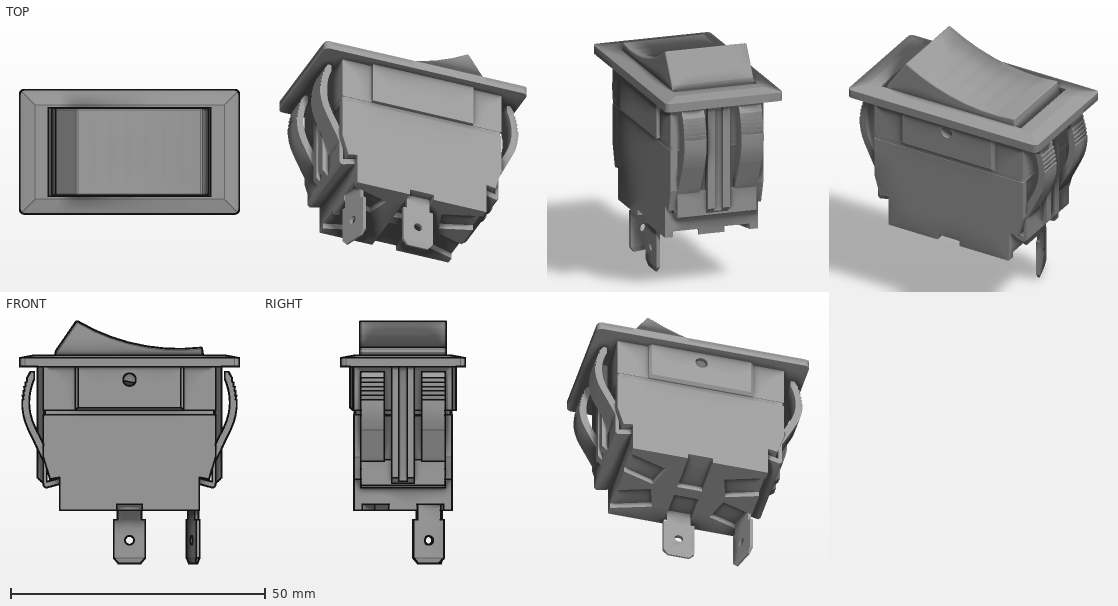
import math

import cadquery as cq

OVERLAP = 0.3
BEYOND = 1.0

BEZEL_LENGTH = 43.2
BEZEL_WIDTH = 24.5
BEZEL_RIM = 1.72
BEZEL_HEIGHT = 2.3
BEZEL_SLOPE_RUN = 3.0
BEZEL_CORNER_RADIUS = 1.0
WINDOW_LENGTH = 32.0
WINDOW_WIDTH = 17.4
WINDOW_FLOOR_Z = -7.5

ROCKER_WIDTH = 17.1
ROCKER_TILT = 12.07
ROCKER_PEAK_HALF = 12.6
ROCKER_PEAK_HEIGHT = 9.2
ROCKER_HOLLOW_HEIGHT = 7.1
ROCKER_SIDE_HALF = 15.36
ROCKER_SIDE_HEIGHT = 2.49
ROCKER_BOTTOM = -1.2
ROCKER_EDGE_RADIUS = 0.3
PIVOT_Z = -2.55
PIN_DIAMETER = 2.5
PIN_BEVEL_OFFSET = 0.44
PIN_BEVEL_ANGLE = 45.0

HOUSING_HALF_LENGTH = 16.95
HOUSING_HALF_WIDTH = 9.68
HOUSING_BOTTOM = -28.26
FRAME_BOTTOM = -8.58
NECK_BOTTOM = -9.45
NECK_INSET = 0.1
NECK_CORNER = 0.3
TAPER_TOP = -17.75
TAPER_BOTTOM = -22.15
TAPER_BOTTOM_HALF_LENGTH = 15.65
BASE_HALF_LENGTH = 13.73
BASE_TOP = -21.8

PAD_HALF_LENGTH = 10.7
PAD_HEIGHT = 0.75
PAD_STEP = 0.2
PAD_BEVEL_RUN = 0.6

RAIL_REACH = 18.13
RAIL_WIDTH = 4.52
RAIL_CHAMFER_TOP = -21.8
RAIL_BOTTOM = -22.95
RAIL_GROOVE_WIDTH = 1.6
RAIL_GROOVE_DEPTH = 0.8

CLIP_PLATE_HALF_WIDTH = 8.28
CLIP_FINGER_INNER_Y = 3.64
CLIP_PLATE_THICKNESS = 0.7
CLIP_PLATE_TOP = -18.3
CLIP_SEAT_TOP = -9.6
CLIP_BEND_TOP = -22.6
CLIP_HOOK_RISE = 0.7
CLIP_HOOK_THICKNESS = 1.2
CLIP_BEND_CUT = 0.45
FINGER_THICKNESS = 1.45
FINGER_OUTER_RADIUS = 12.5
FINGER_REACH = 21.15
FINGER_BEND_Z = -7.0
FINGER_LEAN = 25.8
FINGER_TOP = -0.95
FINGER_TIP_X = 18.7
FINGER_TIP_SLOPE_X = 19.45
FINGER_TIP_CORNER = 0.15
TOOTH_COUNT = 5
TOOTH_PITCH = 0.86
TOOTH_DEPTH = 0.28
FIRST_TOOTH_Z = -2.18

TERMINAL_THICKNESS = 0.75
TERMINAL_WIDTH = 6.25
TERMINAL_NECK_WIDTH = 4.75
TERMINAL_SHOULDER_Z = -30.1
TERMINAL_CHAMFER_Z = -37.6
TERMINAL_BOTTOM = -38.72
TERMINAL_CHAMFER_RUN = 0.95
TERMINAL_TIP_BEVEL = 0.2
TERMINAL_HOLE_DIAMETER = 1.7
TERMINAL_HOLE_Z = -34.15
SIDE_TERMINAL_Y = 7.35
END_TERMINAL_X = 12.52
END_TERMINAL_Y = 5.02
END_TERMINAL_ANGLE = 17.7
CHANNEL_WIDTH = 5.04
CHANNEL_CEILING = -27.1
CHANNEL_INWARD = 6.2
CHANNEL_OUTWARD = 5.0


def box(x_range, y_range, z_range):
    """Box between the given coordinate limits."""
    size = [limits[1] - limits[0] for limits in (x_range, y_range, z_range)]
    corner = (x_range[0], y_range[0], z_range[0])
    return cq.Workplane("XY").box(*size, centered=False).translate(corner)


def centred_box(half_length, half_width, z_range):
    """Box centred on the Z axis."""
    return box((-half_length, half_length), (-half_width, half_width), z_range)


def extrude_across(profile, y_start, y_end):
    """Extrude an outline drawn on the XZ plane between two Y positions."""
    return profile.extrude(y_start - y_end).translate((0, y_start, 0))


def mirrored_pair(shape):
    """The shape together with its mirror image at the other end of the switch."""
    return shape.union(shape.mirror("YZ"))


def make_bezel():
    block = cq.Workplane("XY").rect(BEZEL_LENGTH, BEZEL_WIDTH).extrude(BEZEL_RIM)
    rise = BEZEL_HEIGHT - BEZEL_RIM
    top_length = BEZEL_LENGTH - 2 * BEZEL_SLOPE_RUN
    top_width = BEZEL_WIDTH - 2 * BEZEL_SLOPE_RUN
    crown = (
        cq.Workplane("XY", origin=(0, 0, BEZEL_RIM))
        .rect(BEZEL_LENGTH, BEZEL_WIDTH)
        .workplane(offset=rise)
        .rect(top_length, top_width)
        .loft(ruled=True)
    )
    rounded = (
        cq.Workplane("XY")
        .rect(BEZEL_LENGTH, BEZEL_WIDTH)
        .extrude(BEZEL_HEIGHT)
        .edges("|Z")
        .fillet(BEZEL_CORNER_RADIUS)
    )
    return block.union(crown).intersect(rounded)


def make_housing():
    frame = centred_box(HOUSING_HALF_LENGTH, HOUSING_HALF_WIDTH, (FRAME_BOTTOM, OVERLAP))
    neck = centred_box(
        HOUSING_HALF_LENGTH - NECK_INSET,
        HOUSING_HALF_WIDTH - NECK_INSET,
        (NECK_BOTTOM - OVERLAP, FRAME_BOTTOM + OVERLAP),
    )
    neck = neck.edges("|Z").chamfer(NECK_CORNER)
    right_side = [
        (HOUSING_HALF_LENGTH, NECK_BOTTOM),
        (HOUSING_HALF_LENGTH, TAPER_TOP),
        (TAPER_BOTTOM_HALF_LENGTH, TAPER_BOTTOM),
        (BASE_HALF_LENGTH, BASE_TOP),
        (BASE_HALF_LENGTH, HOUSING_BOTTOM),
    ]
    left_side = [(-x, z) for x, z in reversed(right_side)]
    outline = cq.Workplane("XZ").polyline(right_side + left_side).close()
    lower = extrude_across(outline, -HOUSING_HALF_WIDTH, HOUSING_HALF_WIDTH)
    return frame.union(neck).union(lower)


def make_pads():
    """Bevelled pad on the -Y side and a plain one on the +Y side."""
    bevel_height = PAD_HEIGHT - PAD_STEP
    front = centred_box(PAD_HALF_LENGTH, HOUSING_HALF_WIDTH + PAD_HEIGHT, (FRAME_BOTTOM, 0))
    front = front.faces("<Y").edges("<Z or <X or >X").chamfer(bevel_height, PAD_BEVEL_RUN)
    front = front.intersect(
        box((-BEZEL_LENGTH, BEZEL_LENGTH), (-BEZEL_WIDTH, 0), (FRAME_BOTTOM, 0))
    )
    back = box(
        (-PAD_HALF_LENGTH, PAD_HALF_LENGTH),
        (0, HOUSING_HALF_WIDTH + PAD_HEIGHT),
        (FRAME_BOTTOM, 0),
    )
    return front.union(back)


def make_rocker():
    profile = (
        cq.Workplane("XZ")
        .moveTo(-ROCKER_SIDE_HALF, ROCKER_BOTTOM)
        .lineTo(-ROCKER_SIDE_HALF, ROCKER_SIDE_HEIGHT)
        .lineTo(-ROCKER_PEAK_HALF, ROCKER_PEAK_HEIGHT)
        .threePointArc((0, ROCKER_HOLLOW_HEIGHT), (ROCKER_PEAK_HALF, ROCKER_PEAK_HEIGHT))
        .lineTo(ROCKER_SIDE_HALF, ROCKER_SIDE_HEIGHT)
        .lineTo(ROCKER_SIDE_HALF, ROCKER_BOTTOM)
        .close()
    )
    rocker = extrude_across(profile, -ROCKER_WIDTH / 2, ROCKER_WIDTH / 2)
    rim = cq.selectors.BoxSelector(
        (-ROCKER_SIDE_HALF - BEYOND, -ROCKER_WIDTH, ROCKER_SIDE_HEIGHT + OVERLAP),
        (ROCKER_SIDE_HALF + BEYOND, ROCKER_WIDTH, ROCKER_PEAK_HEIGHT + BEYOND),
    )
    rocker = rocker.edges(rim).fillet(ROCKER_EDGE_RADIUS)
    return rocker.rotate((0, 0, 0), (0, 1, 0), ROCKER_TILT).translate((0, 0, PIVOT_Z))


def make_pin():
    pin = cq.Workplane("XZ").circle(PIN_DIAMETER / 2)
    return extrude_across(pin, -HOUSING_HALF_WIDTH, HOUSING_HALF_WIDTH).translate((0, 0, PIVOT_Z))


def make_pin_recess():
    """Bore in the bevelled pad in front of the pin end, and the space below the bevel on its lower edge."""
    pad_face = -HOUSING_HALF_WIDTH - PAD_HEIGHT
    pin_face = -HOUSING_HALF_WIDTH
    radius = PIN_DIAMETER / 2
    bore = extrude_across(cq.Workplane("XZ").circle(radius), pad_face, pad_face + PIN_DIAMETER)
    bevel_depth = PIN_DIAMETER / math.tan(math.radians(PIN_BEVEL_ANGLE))
    bevel = (
        cq.Workplane("YZ")
        .polyline(
            [
                (pin_face, -PIN_BEVEL_OFFSET),
                (pin_face, -PIN_BEVEL_OFFSET - PIN_DIAMETER),
                (pin_face + bevel_depth, -PIN_BEVEL_OFFSET - PIN_DIAMETER),
            ]
        )
        .close()
        .extrude(PIN_DIAMETER, both=True)
        .rotate((0, 0, 0), (0, 1, 0), ROCKER_TILT)
    )
    face_gap = box((-radius, radius), (pad_face, pin_face), (-radius, radius))
    return bore.intersect(bevel.union(face_gap)).translate((0, 0, PIVOT_Z))


def make_rail():
    """Grooved guide rail on the +X end."""
    outline = [
        (BASE_HALF_LENGTH, 0),
        (RAIL_REACH, 0),
        (RAIL_REACH, RAIL_CHAMFER_TOP),
        (HOUSING_HALF_LENGTH, RAIL_BOTTOM),
        (HOUSING_HALF_LENGTH - CLIP_PLATE_THICKNESS, RAIL_BOTTOM),
        (HOUSING_HALF_LENGTH - CLIP_PLATE_THICKNESS, TAPER_TOP),
        (BASE_HALF_LENGTH, TAPER_TOP),
    ]
    body = cq.Workplane("XZ").polyline(outline).close()
    rail = extrude_across(body, -RAIL_WIDTH / 2, RAIL_WIDTH / 2)
    inside_window = box(
        (0, WINDOW_LENGTH / 2 + OVERLAP), (-RAIL_WIDTH, RAIL_WIDTH), (WINDOW_FLOOR_Z, 0)
    )
    groove = box(
        (RAIL_REACH - RAIL_GROOVE_DEPTH, RAIL_REACH + BEYOND),
        (-RAIL_GROOVE_WIDTH / 2, RAIL_GROOVE_WIDTH / 2),
        (RAIL_BOTTOM - BEYOND, 0),
    )
    return rail.cut(inside_window).cut(groove)


def make_clip_seat():
    """Recess in the +X end of the housing where the clip lies."""
    return box(
        (HOUSING_HALF_LENGTH - CLIP_PLATE_THICKNESS, HOUSING_HALF_LENGTH + BEYOND),
        (-CLIP_PLATE_HALF_WIDTH, CLIP_PLATE_HALF_WIDTH),
        (TAPER_BOTTOM - BEYOND, CLIP_SEAT_TOP),
    )


def make_clip_plate():
    """Flat plate of the +X clip with the hook that grips under the housing."""
    outer = HOUSING_HALF_LENGTH
    inner = HOUSING_HALF_LENGTH - CLIP_PLATE_THICKNESS
    hook_top = CLIP_BEND_TOP + CLIP_HOOK_RISE
    bend_bottom = CLIP_BEND_TOP - CLIP_HOOK_THICKNESS
    outline = [
        (outer, CLIP_PLATE_TOP),
        (outer, bend_bottom + CLIP_BEND_CUT),
        (outer - CLIP_BEND_CUT, bend_bottom),
        (inner, bend_bottom),
        (BASE_HALF_LENGTH, hook_top - CLIP_HOOK_THICKNESS),
        (BASE_HALF_LENGTH, hook_top),
        (inner, CLIP_BEND_TOP),
        (inner, CLIP_PLATE_TOP),
    ]
    profile = cq.Workplane("XZ").polyline(outline).close()
    return extrude_across(profile, -CLIP_PLATE_HALF_WIDTH, CLIP_PLATE_HALF_WIDTH)


def make_clip_fingers():
    """Two curved, toothed spring fingers of the +X clip."""
    lean = math.radians(FINGER_LEAN)
    centre_x = FINGER_REACH - FINGER_OUTER_RADIUS
    inner_radius = FINGER_OUTER_RADIUS - FINGER_THICKNESS

    def on_arc(radius, angle):
        return (centre_x + radius * math.cos(angle), FINGER_BEND_Z + radius * math.sin(angle))

    def outer_at(z):
        return centre_x + math.sqrt(FINGER_OUTER_RADIUS**2 - (z - FINGER_BEND_Z) ** 2)

    def leaning_foot(start):
        x = HOUSING_HALF_LENGTH - CLIP_PLATE_THICKNESS
        return (x, start[1] - (start[0] - x) / math.tan(lean))

    outer_end = on_arc(FINGER_OUTER_RADIUS, -lean)
    inner_end = on_arc(inner_radius, -lean)
    tip_angle = math.acos((FINGER_TIP_X - centre_x) / inner_radius)
    inner_start = on_arc(inner_radius, tip_angle)

    profile = (
        cq.Workplane("XZ")
        .moveTo(*inner_start)
        .lineTo(FINGER_TIP_X, FINGER_TOP - FINGER_TIP_CORNER)
        .lineTo(FINGER_TIP_X + FINGER_TIP_CORNER, FINGER_TOP)
        .lineTo(FINGER_TIP_SLOPE_X, FINGER_TOP)
        .lineTo(outer_at(FIRST_TOOTH_Z), FIRST_TOOTH_Z)
    )
    for tooth in range(1, TOOTH_COUNT + 1):
        z = FIRST_TOOTH_Z - tooth * TOOTH_PITCH
        profile = profile.lineTo(outer_at(z) - TOOTH_DEPTH, z).lineTo(outer_at(z), z)
    profile = (
        profile.threePointArc(on_arc(FINGER_OUTER_RADIUS, -lean / 2), outer_end)
        .lineTo(*leaning_foot(outer_end))
        .lineTo(*leaning_foot(inner_end))
        .lineTo(*inner_end)
        .threePointArc(on_arc(inner_radius, 0), inner_start)
        .close()
    )
    finger = extrude_across(profile, CLIP_FINGER_INNER_Y, CLIP_PLATE_HALF_WIDTH)
    return finger.union(finger.mirror("XZ"))


def make_terminal():
    """Blade terminal standing in the XZ plane, centred on the Z axis."""
    half = TERMINAL_WIDTH / 2
    neck_half = TERMINAL_NECK_WIDTH / 2
    right_side = [
        (neck_half, CHANNEL_CEILING + OVERLAP),
        (neck_half, TERMINAL_SHOULDER_Z),
        (half, TERMINAL_SHOULDER_Z),
        (half, TERMINAL_CHAMFER_Z),
        (half - TERMINAL_CHAMFER_RUN, TERMINAL_BOTTOM),
    ]
    left_side = [(-x, z) for x, z in reversed(right_side)]
    profile = cq.Workplane("XZ").polyline(right_side + left_side).close()
    blade = extrude_across(profile, -TERMINAL_THICKNESS / 2, TERMINAL_THICKNESS / 2)
    right_edge = [
        (TERMINAL_THICKNESS / 2, CHANNEL_CEILING + OVERLAP),
        (TERMINAL_THICKNESS / 2, TERMINAL_CHAMFER_Z),
        (TERMINAL_THICKNESS / 2 - TERMINAL_TIP_BEVEL, TERMINAL_BOTTOM),
    ]
    left_edge = [(-y, z) for y, z in reversed(right_edge)]
    edge_profile = cq.Workplane("YZ").polyline(right_edge + left_edge).close()
    blade = blade.intersect(edge_profile.extrude(TERMINAL_WIDTH, both=True))
    hole = cq.Workplane("XZ").circle(TERMINAL_HOLE_DIAMETER / 2).extrude(BEYOND, both=True)
    return blade.cut(hole.translate((0, 0, TERMINAL_HOLE_Z)))


def make_channel():
    """Open channel around a terminal, running outward along +Y."""
    return box(
        (-CHANNEL_WIDTH / 2, CHANNEL_WIDTH / 2),
        (-CHANNEL_INWARD, CHANNEL_OUTWARD),
        (HOUSING_BOTTOM - BEYOND, CHANNEL_CEILING),
    )


def place_at_side(shape):
    """Move a terminal shape to the middle of the +Y side."""
    return shape.translate((0, SIDE_TERMINAL_Y, 0))


def place_at_end(shape):
    """Move a terminal shape to the +X end, near the +Y side."""
    turned = shape.rotate((0, 0, 0), (0, 0, 1), END_TERMINAL_ANGLE - 90)
    return turned.translate((END_TERMINAL_X, END_TERMINAL_Y, 0))


def make_channels():
    end_channels = mirrored_pair(place_at_end(make_channel()))
    one_side = end_channels.union(place_at_side(make_channel()))
    return one_side.union(one_side.mirror("XZ"))


window = centred_box(WINDOW_LENGTH / 2, WINDOW_WIDTH / 2, (WINDOW_FLOOR_Z, BEZEL_HEIGHT + BEYOND))

result = make_housing().union(make_pads()).union(make_bezel())
result = result.cut(mirrored_pair(make_clip_seat())).cut(window)
result = result.cut(make_channels())
result = result.union(mirrored_pair(make_rail()))
result = result.union(mirrored_pair(make_clip_plate().union(make_clip_fingers())))
result = result.union(make_rocker()).union(make_pin()).cut(make_pin_recess())
result = result.union(place_at_side(make_terminal())).union(place_at_end(make_terminal()))